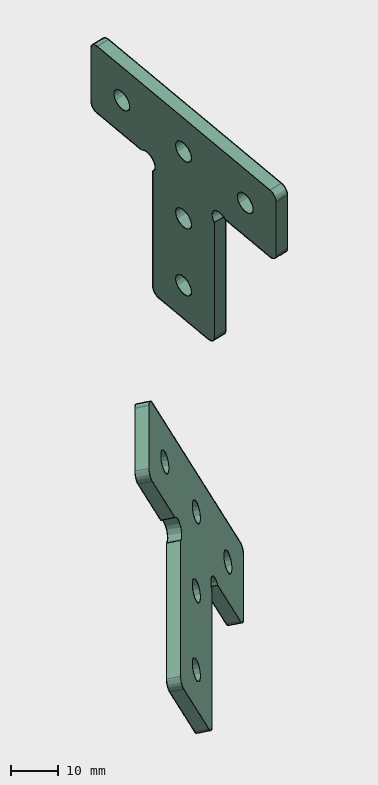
import cadquery as cq
import math

pitch = 20.0
plate_width = 3 * pitch
plate_height = 3 * pitch
thickness = 3.175

corner_radius = 2.0
hole_diameter = 5.1
relief_radius = 2.5

stem_width = pitch
top_z = plate_height / 2
bar_bottom_z = top_z - pitch
bottom_z = -plate_height / 2

relief_offset = relief_radius / math.sqrt(2)

hole_centres = [
    (-pitch, pitch),
    (0, pitch),
    (pitch, pitch),
    (0, 0),
    (0, -pitch),
]


def front_plane():
    """XZ workplane on the +Y face; extruding runs toward -Y."""
    return cq.Workplane("XZ", origin=(0, thickness / 2, 0))


def rounded_block(x_size, z_min, z_max):
    """Full-thickness rectangle with rounded corners, centred on X = 0."""
    return (
        front_plane()
        .center(0, (z_min + z_max) / 2)
        .rect(x_size, z_max - z_min)
        .extrude(thickness)
        .edges("|Y")
        .fillet(corner_radius)
    )


def through_cylinders(centres, radius):
    return front_plane().pushPoints(centres).circle(radius).extrude(thickness)


crossbar = rounded_block(plate_width, bar_bottom_z, top_z)
stem = rounded_block(stem_width, bottom_z, top_z)
body = crossbar.union(stem).clean()

relief_centres = [
    (side * (stem_width / 2 + relief_offset), bar_bottom_z - relief_offset)
    for side in (-1, 1)
]
body = body.cut(through_cylinders(relief_centres, relief_radius))

result = body.cut(through_cylinders(hole_centres, hole_diameter / 2))